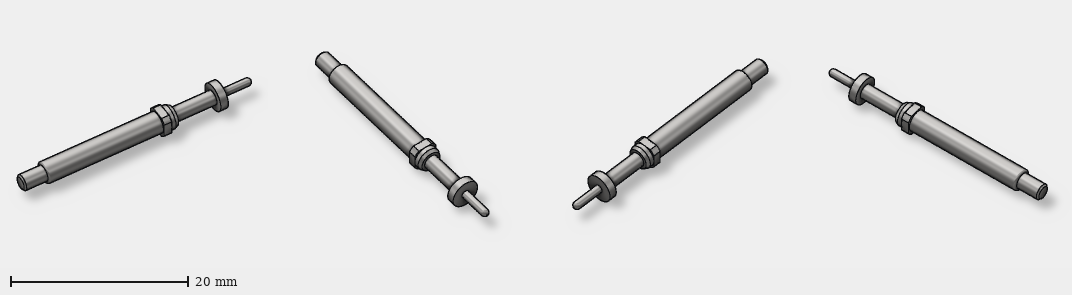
import cadquery as cq

total_length = 30.3
plunger_length = 3.0
body_length = 15.0
flats_length = 1.0
collar_length = 0.58
collar_nose_length = 0.45
flange_thickness = 1.0
pin_length = 4.0

plunger_diameter = 2.0
body_diameter = 2.7
collar_diameter = 3.0
shank_diameter = 1.82
flange_diameter = 3.5
pin_diameter = 1.0

plunger_chamfer = 0.2
body_fillet = 0.2
collar_nose_depth = 0.2
pin_tip_radius = 0.48

flats_disc_diameter = flange_diameter
across_flats = collar_diameter

body_start = plunger_length
flats_start = body_start + body_length
collar_start = flats_start + flats_length
nose_start = collar_start + collar_length
shank_start = nose_start + collar_nose_length
pin_start = total_length - pin_length
flange_start = pin_start - flange_thickness


def cylinder(diameter, start, end):
    """Round bar on the Y axis between two stations."""
    bar = cq.Workplane("XZ", origin=(0, start, 0)).circle(diameter / 2)
    return bar.extrude(start - end)


def make_plunger():
    return cylinder(plunger_diameter, 0, body_start).faces("<Y").edges().chamfer(plunger_chamfer)


def make_body():
    return cylinder(body_diameter, body_start, flats_start).faces("<Y").edges().fillet(body_fillet)


def make_wrench_flats():
    disc = cylinder(flats_disc_diameter, flats_start, collar_start)
    square = cq.Workplane("XZ", origin=(0, flats_start, 0)).rect(across_flats, across_flats)
    return disc.intersect(square.extrude(-flats_length))


def make_collar():
    ring = cylinder(collar_diameter, collar_start, shank_start)
    return ring.faces(">Y").edges().chamfer(collar_nose_length, collar_nose_depth)


def make_pin():
    return cylinder(pin_diameter, pin_start, total_length).faces(">Y").edges().fillet(pin_tip_radius)


shank = cylinder(shank_diameter, shank_start, flange_start)
flange = cylinder(flange_diameter, flange_start, pin_start)

result = make_plunger().union(make_body()).union(make_wrench_flats()).union(make_collar())
result = result.union(shank).union(flange).union(make_pin())